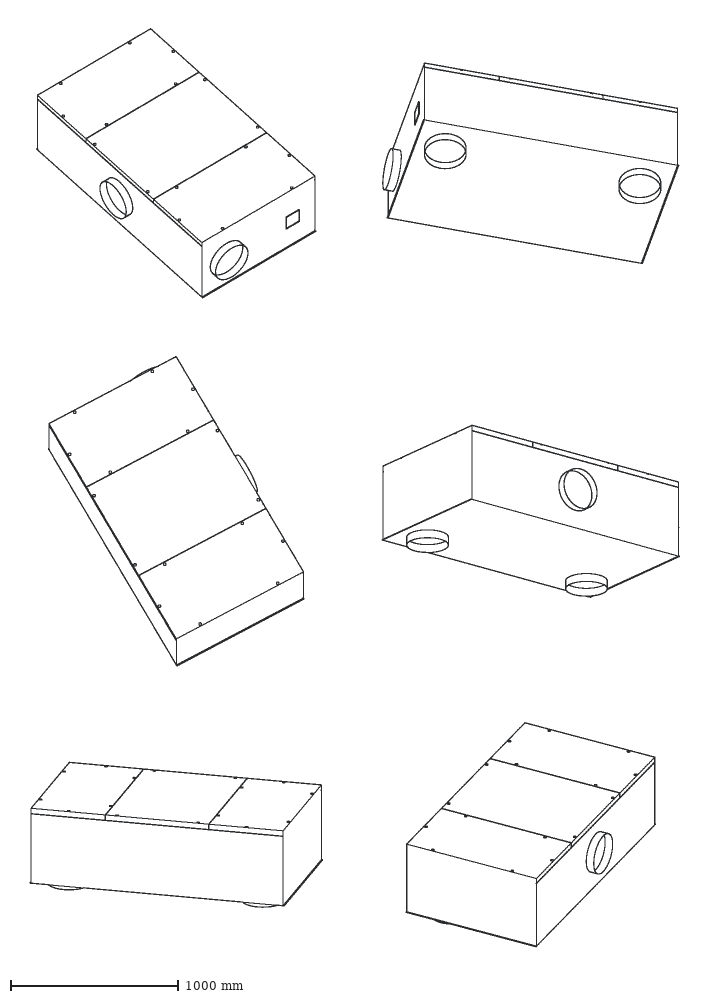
import cadquery as cq

total_x = 1618.0
total_y = 920.0
total_z = 525.0

spigot_diameter = 250.0
spigot_wall = 2.0
spigot_length = 50.0
front_spigot_x = 0.0
front_spigot_z = 236.0
side_spigot_y = -246.0
side_spigot_z = 217.0
bottom_spigot_x = 600.0
bottom_spigot_y = 231.0

flange_overhang = 7.0
flange_thickness = 2.0

body_x = total_x - spigot_length - flange_overhang
body_y = total_y - spigot_length
body_z = total_z - spigot_length

lid_height = 35.0
middle_panel_x = 640.0
joint_width = 2.0
joint_depth = 2.0

screw_diameter = 16.0
screw_depth = 2.0
screw_inset = 13.0
middle_screw_x = 250.0
end_screw_y = 265.0

plate_y = 260.0
plate_z = side_spigot_z
plate_size = 100.0
plate_thickness = 5.0


def make_cabinet():
    """Solid cabinet standing on the overhanging bottom sheet."""
    body = cq.Workplane("XY").box(body_x, body_y, body_z, centered=(True, True, False))
    flange = cq.Workplane("XY").box(
        body_x + 2 * flange_overhang, body_y, flange_thickness, centered=(True, True, False)
    )
    return body.union(flange)


def make_spigot(base, direction):
    """Open tube that starts at the base point and runs outward along direction."""
    plane = cq.Plane(origin=base, normal=direction)
    outer_radius = spigot_diameter / 2
    return (
        cq.Workplane(plane)
        .circle(outer_radius)
        .circle(outer_radius - spigot_wall)
        .extrude(spigot_length)
    )


def make_plate():
    """Flat square plate lying on the +X end of the cabinet."""
    return cq.Workplane("XY").box(plate_thickness, plate_size, plate_size).translate(
        (body_x / 2 + plate_thickness / 2, plate_y, plate_z)
    )


def make_lid_joints():
    """Grooves between the lid panels and under the lid on the front and back faces."""
    core = cq.Workplane("XY").box(
        body_x, body_y - 2 * joint_depth, body_z - joint_depth, centered=(True, True, False)
    )
    lid_bottom = body_z - lid_height
    joints = cq.Workplane("XY").workplane(offset=lid_bottom).box(
        body_x, body_y, joint_width, centered=(True, True, False)
    )
    for side in (-1, 1):
        panel_joint = cq.Workplane("XY").box(
            joint_width, body_y, lid_height, centered=(True, True, False)
        )
        joints = joints.union(panel_joint.translate((side * middle_panel_x / 2, 0, lid_bottom)))
    return joints.cut(core)


def make_screw_holes():
    """Blind holes along the long edges and along both X edges of each end panel."""
    end_panel_inner = middle_panel_x / 2
    end_panel_outer = body_x / 2
    end_panel_middle = (end_panel_inner + end_panel_outer) / 2
    edge_y = body_y / 2 - screw_inset
    quadrant = [
        (middle_screw_x, edge_y),
        (end_panel_middle, edge_y),
        (end_panel_inner + screw_inset, end_screw_y),
        (end_panel_outer - screw_inset, end_screw_y),
    ]
    points = [(sx * x, sy * y) for x, y in quadrant for sx in (-1, 1) for sy in (-1, 1)]
    return (
        cq.Workplane("XY")
        .workplane(offset=body_z - screw_depth)
        .pushPoints(points)
        .circle(screw_diameter / 2)
        .extrude(screw_depth)
    )


result = make_cabinet().cut(make_lid_joints()).cut(make_screw_holes())
result = result.union(make_spigot((front_spigot_x, -body_y / 2, front_spigot_z), (0, -1, 0)))
result = result.union(make_spigot((body_x / 2, side_spigot_y, side_spigot_z), (1, 0, 0)))
for side in (-1, 1):
    result = result.union(make_spigot((side * bottom_spigot_x, bottom_spigot_y, 0), (0, 0, -1)))
result = result.union(make_plate())